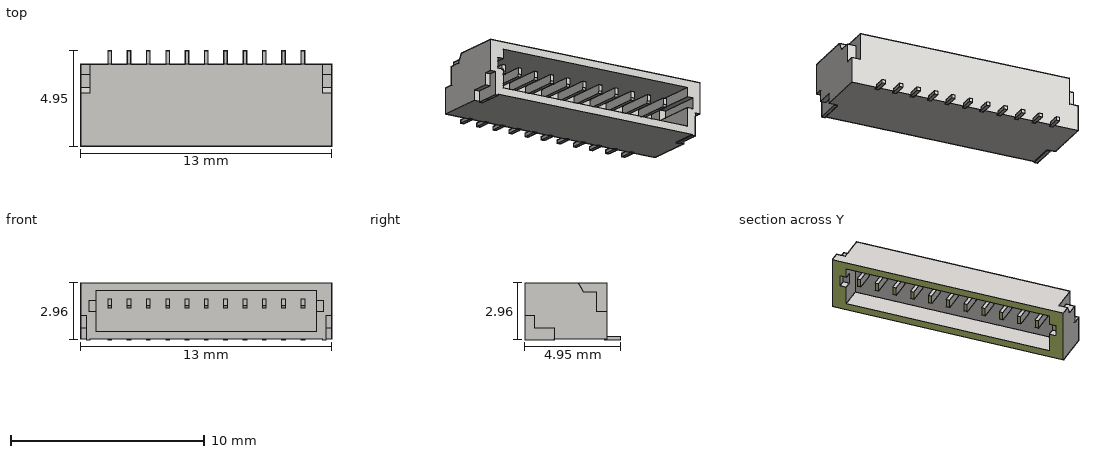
import cadquery as cq

width = 13.0
depth = 4.25
overall_height = 2.96
standoff = 0.05
height = overall_height - standoff

wall_side = 0.79
wall_top = 0.4
wall_bottom = 0.4
cavity_depth = 3.38
cavity_width = width - 2 * wall_side

slot_side_wall = 0.44
slot_span = width - 2 * slot_side_wall
slot_drop = 0.91
slot_top = height - slot_drop
slot_height = 0.58
slot_depth = 2.6

notch_width = 0.5
notch_back_length = 0.55
notch_back_drop = 1.48
notch_shelf_length = 1.22
notch_shelf_drop = 0.47
notch_top_length = 1.5

recess_width = 0.3
clip_thickness = 0.2
recess_length = 1.52
recess_height = 0.56
recess_front_length = 0.5
recess_front_height = 1.21

pin_count = 11
pin_span = 10.0
pin_width = 0.2
pin_drop = 0.83
pin_top = height - pin_drop
pin_height = 0.47
pin_tip_setback = 1.04
pin_bevel_height = 0.13
pin_bevel_length = 0.05
foot_thickness = 0.2
foot_overhang = 0.7
foot_tuck = 0.13


def box(x_center, x_size, y_start, y_end, z_bottom, z_top):
    """Box centred on x_center, between the given Y and Z limits."""
    return (
        cq.Workplane("XY", origin=(x_center, y_start, z_bottom))
        .box(x_size, y_end - y_start, z_top - z_bottom, centered=(True, False, False))
    )


def side_profile(points, x_start, thickness):
    """Prism with a (Y, Z) outline, running towards +X from x_start."""
    return cq.Workplane("YZ", origin=(x_start, 0, 0)).polyline(points).close().extrude(thickness)


def on_both_sides(left_part):
    """The left-hand part together with its mirror image."""
    return left_part.union(left_part.mirror("YZ"))


def make_cavity():
    opening = box(0, cavity_width, 0, cavity_depth, wall_bottom, height - wall_top)
    slots = box(0, slot_span, 0, slot_depth, slot_top - slot_height, slot_top)
    return opening.union(slots)


def make_rear_notches():
    outline = [
        (depth, height),
        (depth - notch_top_length, height),
        (depth - notch_shelf_length, height - notch_shelf_drop),
        (depth - notch_back_length, height - notch_shelf_drop),
        (depth - notch_back_length, height - notch_back_drop),
        (depth, height - notch_back_drop),
    ]
    return on_both_sides(side_profile(outline, -width / 2, notch_width))


def front_step_outline(bottom):
    """Stepped (Y, Z) outline shared by the front recesses and their clips."""
    return [
        (0, bottom),
        (recess_length, bottom),
        (recess_length, recess_height),
        (recess_front_length, recess_height),
        (recess_front_length, recess_front_height),
        (0, recess_front_height),
    ]


def make_front_recesses():
    return on_both_sides(side_profile(front_step_outline(0), -width / 2, recess_width))


def make_clips():
    clip_start = -width / 2 + recess_width
    return on_both_sides(side_profile(front_step_outline(-standoff), clip_start, clip_thickness))


def make_pin(x_center):
    """Contact blade inside the cavity and its solder foot behind the housing."""
    pin_bottom = pin_top - pin_height
    outline = [
        (pin_tip_setback, pin_top),
        (cavity_depth, pin_top),
        (cavity_depth, pin_bottom),
        (pin_tip_setback + pin_bevel_length, pin_bottom),
        (pin_tip_setback, pin_bottom + pin_bevel_height),
    ]
    blade = side_profile(outline, x_center - pin_width / 2, pin_width)
    foot = box(
        x_center, pin_width,
        depth - foot_tuck, depth + foot_overhang,
        -standoff, foot_thickness - standoff,
    )
    return blade, foot


housing = box(0, width, 0, depth, 0, height)
housing = housing.cut(make_cavity()).cut(make_rear_notches()).cut(make_front_recesses())

result = housing.union(make_clips())
pin_pitch = pin_span / (pin_count - 1)
for index in range(pin_count):
    blade, foot = make_pin(index * pin_pitch - pin_span / 2)
    result = result.union(blade).union(foot)